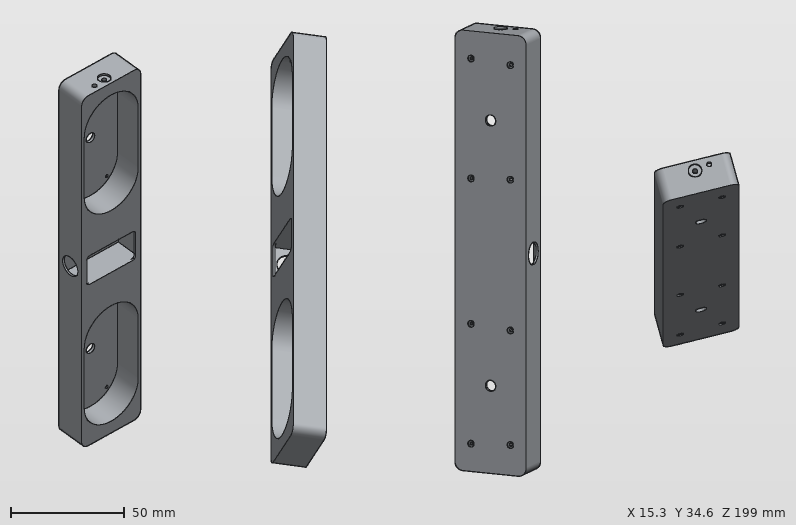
import cadquery as cq

thickness = 15.3
width = 34.6
length = 199
corner_radius = 4

side_hole_diameter = 10.1
chamber_wall = 1.0
chamber_height = 16.3
lip_thickness = 1.0
window_width = 28.7
window_corner_radius = 2

floor = 1.5
pocket_wall = 1.5
pocket_height = 65.7
pocket_spacing = 119.8
mount_hole_diameter = 5.0

screw_y = 9.5
screw_z_plus_y = 27.0
screw_z_minus_y = 25.9
screw_head_diameter = 3.0
screw_head_depth = 0.5
screw_hole_diameter = 1.4

connector_x = 3.0
connector_diameter = 6
connector_depth = 1.0
cable_hole_diameter = 2.2
indicator_x = 4.2
indicator_y = -6.8
indicator_diameter = 2.2
indicator_depth = 2

back = -thickness / 2
front = thickness / 2
side = -width / 2
top = length / 2
pocket_z = pocket_spacing / 2
pocket_width = width - 2 * pocket_wall
chamber_width = width - 2 * chamber_wall


def plane_across_x(x, y=0, z=0):
    """Workplane facing +X with its origin at the given point."""
    return cq.Workplane("YZ", origin=(x, y, z))


def hole_from_back(diameter, y, z, depth):
    return plane_across_x(back, y, z).circle(diameter / 2).extrude(depth)


def hole_from_top(diameter, x, y, depth):
    return cq.Workplane("XY", origin=(x, y, top)).circle(diameter / 2).extrude(-depth)


def middle_chamber():
    chamber_depth = thickness - floor - lip_thickness
    chamber = plane_across_x(back + floor).rect(chamber_width, chamber_height).extrude(chamber_depth)
    window = plane_across_x(front - lip_thickness).rect(window_width, chamber_height).extrude(lip_thickness)
    window = window.edges("|X").fillet(window_corner_radius)
    side_hole = cq.Workplane("XZ", origin=(0, side, 0)).circle(side_hole_diameter / 2).extrude(-width / 2)
    return chamber.union(window).union(side_hole)


def module_pocket(z):
    pocket = plane_across_x(back + floor, 0, z).slot2D(pocket_height, pocket_width, 90)
    cutter = pocket.extrude(thickness - floor)
    cutter = cutter.union(hole_from_back(mount_hole_diameter, 0, z, thickness))
    for y, z_offset in ((screw_y, screw_z_plus_y), (-screw_y, screw_z_minus_y)):
        for screw_z in (z - z_offset, z + z_offset):
            cutter = cutter.union(hole_from_back(screw_hole_diameter, y, screw_z, thickness))
            cutter = cutter.union(hole_from_back(screw_head_diameter, y, screw_z, screw_head_depth))
    return cutter


def top_end_holes():
    cable_depth = top - pocket_z
    connector = hole_from_top(connector_diameter, connector_x, 0, connector_depth)
    cable_hole = hole_from_top(cable_hole_diameter, connector_x, 0, cable_depth)
    indicator = hole_from_top(indicator_diameter, indicator_x, indicator_y, indicator_depth)
    return connector.union(cable_hole).union(indicator)


body = cq.Workplane("XY").box(thickness, width, length)
body = body.edges("|X").fillet(corner_radius)
body = body.cut(middle_chamber())
for z in (-pocket_z, pocket_z):
    body = body.cut(module_pocket(z))
result = body.cut(top_end_holes())